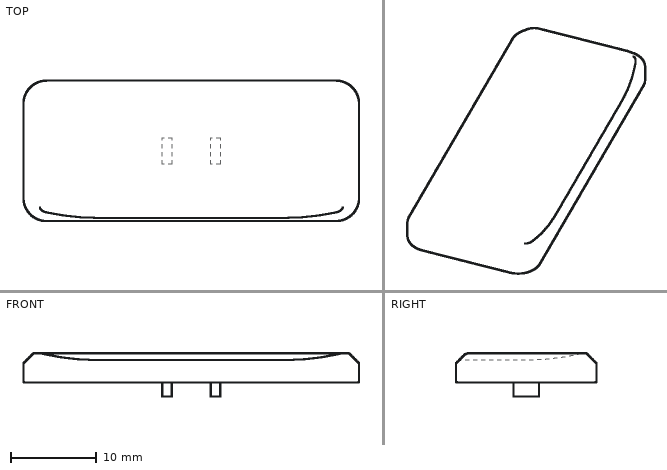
import cadquery as cq
import math

LENGTH = 39.5
WIDTH = 16.55
TOTAL_HEIGHT = 5.15
PEG_HEIGHT = 1.65
BODY_HEIGHT = TOTAL_HEIGHT - PEG_HEIGHT
CORNER_RADIUS = 2.75
BEVEL = 1.22
BOTTOM_ROUND = 0.2
SHOULDER_ROUND = 0.2
TOP_ROUND = 0.3

DISH_DEPTH = 0.83
RIM_RADIUS = 6.8
DISH_CENTER_X = 11.0
DISH_ARC_RADIUS = (RIM_RADIUS**2 + DISH_DEPTH**2) / (2 * DISH_DEPTH)
FLOOR_Z = BODY_HEIGHT - DISH_DEPTH

PEG_LENGTH_X = 1.15
PEG_WIDTH_Y = 3.05
PEG_OFFSET_X = 2.85


def make_body():
    """Rounded rectangular plate with a 45 degree bevel and softened edges."""
    body = (
        cq.Workplane("XY")
        .rect(LENGTH, WIDTH)
        .extrude(BODY_HEIGHT)
        .edges("|Z")
        .fillet(CORNER_RADIUS)
        .faces(">Z")
        .edges()
        .chamfer(BEVEL)
    )
    body = body.faces(">Z").edges().fillet(TOP_ROUND)
    shoulder_z = BODY_HEIGHT - BEVEL
    shoulder_band = cq.selectors.BoxSelector(
        (-LENGTH, -WIDTH, shoulder_z - SHOULDER_ROUND),
        (LENGTH, WIDTH, shoulder_z + SHOULDER_ROUND),
    )
    body = body.edges(shoulder_band).fillet(SHOULDER_ROUND)
    return body.faces("<Z").edges().fillet(BOTTOM_ROUND)


def dish_profile(plane):
    """Half section of the dish: local x runs from the floor centre to the rim."""
    half_angle = math.asin(RIM_RADIUS / DISH_ARC_RADIUS) / 2
    arc_middle = (
        DISH_ARC_RADIUS * math.sin(half_angle),
        FLOOR_Z + DISH_ARC_RADIUS * (1 - math.cos(half_angle)),
    )
    return (
        cq.Workplane(plane)
        .moveTo(0, FLOOR_Z)
        .threePointArc(arc_middle, (RIM_RADIUS, BODY_HEIGHT))
        .lineTo(0, BODY_HEIGHT)
        .close()
    )


def make_dish():
    """Cutter with two rounded rear corners, running out through the front side."""
    dish = (
        cq.Workplane("XY")
        .box(2 * DISH_CENTER_X, WIDTH, DISH_DEPTH, centered=(True, False, False))
        .translate((0, -WIDTH, FLOOR_Z))
    )

    rear_plane = cq.Plane(origin=(-DISH_CENTER_X, 0, 0), xDir=(0, 1, 0), normal=(1, 0, 0))
    dish = dish.union(dish_profile(rear_plane).extrude(2 * DISH_CENTER_X))

    end_plane = cq.Plane(origin=(DISH_CENTER_X, 0, 0), xDir=(1, 0, 0), normal=(0, -1, 0))
    end_slope = dish_profile(end_plane).extrude(WIDTH)
    rear_corner = dish_profile(end_plane).revolve(90, (0, 0, 0), (0, 1, 0))
    for piece in (end_slope, rear_corner):
        dish = dish.union(piece).union(piece.mirror("YZ"))
    return dish


def make_pegs():
    """Pair of rectangular pegs below the body."""
    return (
        cq.Workplane("XY")
        .pushPoints([(-PEG_OFFSET_X, 0), (PEG_OFFSET_X, 0)])
        .rect(PEG_LENGTH_X, PEG_WIDTH_Y)
        .extrude(-PEG_HEIGHT)
    )


result = make_body().cut(make_dish()).union(make_pegs())